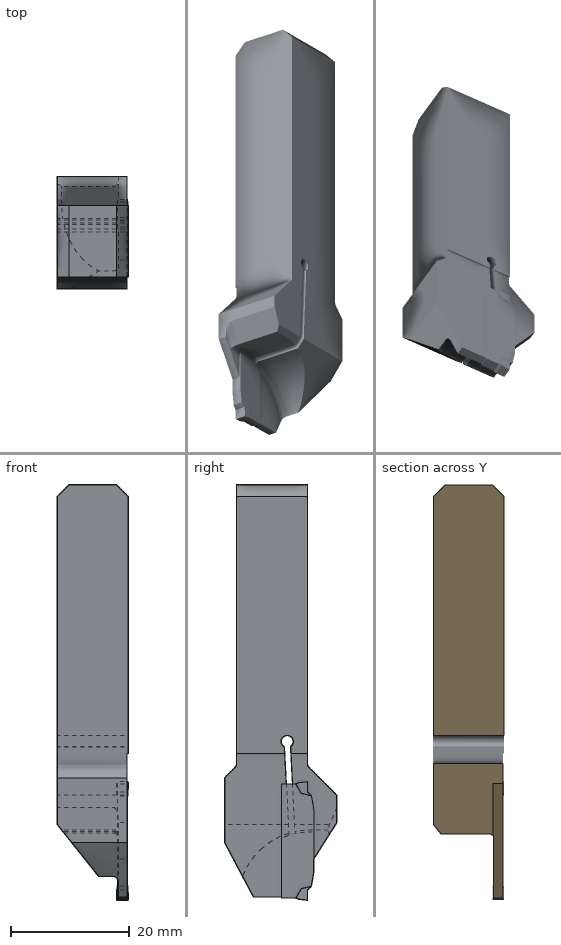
import cadquery as cq
import math


total_length = 70.0
shank_size = 12.0
shank_chamfer = 2.0
head_front_y = -2.0
head_back_y = 16.93
neck_z = 22.65
neck_radius = 0.75
head_side_x = 11.8
head_side_top_z = 24.7
front_slope_top_z = 9.75
front_slope_end_y = 2.87
back_slope_top_z = 13.1
back_slope_end_z = 7.0
holder_bottom_z = 0.55

underside_top_z = 12.8
underside_angle = 38.6

blade_face_x = 10.3
clearance_fillet = 0.8
ceiling_z = 11.85
clearance_radius = 12.1
arc_top_y = 12.35
jaw_corner_y = 15.25
jaw_cut_slope = 2.25

slit_hole_radius = 1.0
slit_hole_y = 8.55
slit_hole_z = 26.75
slit_width = 1.0
slit_angle = 3.0
slit_length = 18.0

insert_back_y = 13.05
insert_front_y = 7.57
insert_length = 20.0
insert_mid_x = 11.0
insert_thickness = 1.7
insert_end_gap = 0.37
tip_width = 2.0
tip_corner_radius = 0.2
tip_land_height = 0.55
tip_taper = 0.06
tip_top_z = 2.5
edge_y = shank_size
rake_floor_z = 1.75
rake_top_y = 12.65
rake_top_z = 2.4
rake_end_z = 4.8
relief_end_y = 10.4
relief_rise = 0.2
relief_step_y = 10.0
tip_inner_y = 10.9
tip_inner_z = 1.95

cutter_margin = 5.0
cutter_span = 2 * (head_back_y + cutter_margin)

insert_mid_y = (insert_back_y + insert_front_y) / 2
insert_mid_z = insert_length / 2


def side_prism(sketch, start_x, end_x):
    """Extrude a closed YZ sketch from start_x to end_x."""
    return sketch.extrude(end_x - start_x).translate((start_x, 0, 0))


def make_tip_outline():
    """Block with the tip's XZ outline: rounded corners, a straight land and tapered sides."""
    edge_half = tip_width / 2
    top_half = edge_half - tip_taper
    outline = [
        (insert_mid_x - edge_half, 0),
        (insert_mid_x - edge_half, tip_land_height),
        (insert_mid_x - top_half, tip_top_z),
        (insert_mid_x + top_half, tip_top_z),
        (insert_mid_x + edge_half, tip_land_height),
        (insert_mid_x + edge_half, 0),
    ]
    block = cq.Workplane("XZ").polyline(outline).close().extrude(cutter_span / 2, both=True)
    return block.faces("<Z").edges("|Y").fillet(tip_corner_radius)


def make_insert():
    """Insert body with a wider tip at each end, symmetric about its middle height."""
    half_body = [
        (insert_front_y, insert_mid_z),
        (insert_back_y, insert_mid_z),
        (insert_back_y, rake_end_z),
        (rake_top_y, rake_top_z),
        (edge_y, rake_floor_z),
        (edge_y, 0),
        (relief_end_y, relief_rise),
        (relief_step_y, insert_end_gap),
        (insert_front_y, insert_end_gap),
    ]
    tip = [
        (edge_y, 0),
        (relief_end_y, relief_rise),
        (relief_step_y, insert_end_gap),
        (tip_inner_y, tip_inner_z),
        (rake_top_y, rake_top_z),
        (edge_y, rake_floor_z),
    ]
    half = side_prism(
        cq.Workplane("YZ").polyline(half_body).close(),
        insert_mid_x - insert_thickness / 2,
        insert_mid_x + insert_thickness / 2,
    )
    tip_prism = side_prism(
        cq.Workplane("YZ").polyline(tip).close(),
        insert_mid_x - tip_width / 2,
        insert_mid_x + tip_width / 2,
    )
    half = half.union(tip_prism.intersect(make_tip_outline()))
    return half.union(half.mirror("XY", (0, 0, insert_mid_z)))


def make_blank():
    """Shank and head outline, with the shank top chamfered and the necks rounded."""
    front_flare = -head_front_y
    back_flare = head_back_y - shank_size
    outline = [
        (0, total_length),
        (0, neck_z),
        (head_front_y, neck_z - front_flare),
        (head_front_y, front_slope_top_z),
        (front_slope_end_y, holder_bottom_z),
        (insert_mid_y, holder_bottom_z),
        (insert_mid_y, back_slope_end_z),
        (insert_back_y, back_slope_end_z),
        (head_back_y, back_slope_top_z),
        (head_back_y, neck_z - back_flare),
        (shank_size, neck_z),
        (shank_size, total_length),
    ]
    blank = side_prism(cq.Workplane("YZ").polyline(outline).close(), 0, shank_size)
    for neck_y in (0, shank_size):
        neck_edge = cq.selectors.NearestToPointSelector((shank_size / 2, neck_y, neck_z))
        blank = blank.edges("|X").edges(neck_edge).fillet(neck_radius)
    return blank.faces(">Z").edges("|Y").chamfer(shank_chamfer)


def make_head_side_cut():
    """Layer removed from the +X side of the head."""
    return (
        cq.Workplane("XY")
        .box(shank_size, cutter_span, head_side_top_z, centered=(False, True, False))
        .translate((head_side_x, 0, 0))
    )


def make_underside_cut():
    """Wedge below the head that slopes away from the -X face."""
    run = underside_top_z * math.tan(math.radians(underside_angle))
    return (
        cq.Workplane("XZ")
        .polyline([(0, underside_top_z), (run, 0), (0, 0)])
        .close()
        .extrude(cutter_span / 2, both=True)
        .intersect(cq.Workplane("XY").box(2 * blade_face_x, cutter_span, 2 * underside_top_z))
    )


def make_clearance_cut():
    """Volume beside the blade, ended by a large arc and rounded along the blade's face."""
    arc_center_z = ceiling_z - clearance_radius
    outer_y = head_back_y + cutter_margin
    jaw_rise = (outer_y - jaw_corner_y) * jaw_cut_slope
    diagonal = clearance_radius * math.sqrt(0.5)
    sketch = (
        cq.Workplane("YZ")
        .moveTo(outer_y, arc_center_z)
        .lineTo(outer_y, ceiling_z + jaw_rise)
        .lineTo(jaw_corner_y, ceiling_z)
        .lineTo(arc_top_y, ceiling_z)
        .threePointArc(
            (arc_top_y - diagonal, arc_center_z + diagonal),
            (arc_top_y - clearance_radius, arc_center_z),
        )
        .close()
    )
    return side_prism(sketch, 0, blade_face_x).faces(">X").edges().fillet(clearance_fillet)


def make_slit():
    """Slit from the insert up to a round hole, letting the jaw flex."""
    slot = (
        cq.Workplane("YZ")
        .rect(slit_width, slit_length)
        .extrude(shank_size)
        .translate((0, 0, -slit_length / 2))
        .rotate((0, 0, 0), (1, 0, 0), slit_angle)
    )
    hole = cq.Workplane("YZ").circle(slit_hole_radius).extrude(shank_size)
    return slot.union(hole).translate((0, slit_hole_y, slit_hole_z))


def make_holder(insert):
    """Holder with a close-fitting pocket for the insert, open towards +X."""
    return (
        make_blank()
        .cut(make_head_side_cut())
        .cut(make_underside_cut())
        .cut(make_clearance_cut())
        .cut(make_slit())
        .cut(insert)
    )


insert = make_insert()
holder = make_holder(insert)

result = cq.Compound.makeCompound([holder.val(), insert.val()])